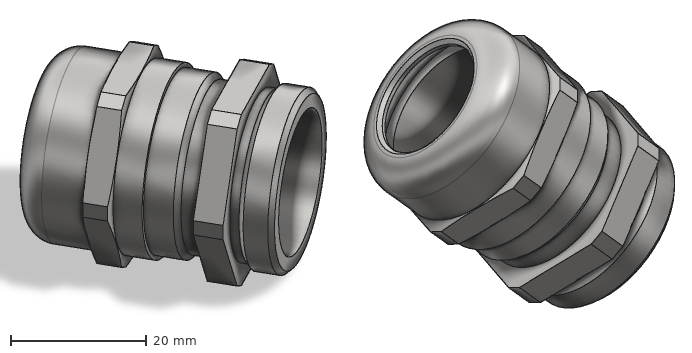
import cadquery as cq
import math


hex_across_flats = 30.0
hex_across_corners = 33.2

cap_length = 20.0
cap_radius = 14.85
dome_radius = 4.5
cap_hex_start = 11.05
cap_hex_width = 4.5
cap_hex_chamfer_depth = 0.3

throat_radius = 9.2
mouth_chamfer = 0.6
throat_length = 0.6

total_length = 40.0
thread_radius = 14.1
neck_radius = 13.2
bore_radius = 11.2
neck_start = 25.5
neck_end = 34.5
end_chamfer = 0.8
body_hex_start = 28.45
body_hex_width = 4.6

neck_taper = thread_radius - neck_radius
throat_end = mouth_chamfer + throat_length
socket_radius = neck_radius
body_start = throat_end + socket_radius - throat_radius


def revolve_profile(profile):
    """Turn a closed (axial, radial) profile around the X axis."""
    return profile.close().revolve(360, (0, 0, 0), (1, 0, 0))


def wrench_hexagon(start, width):
    """Hexagonal prism along X, flats up and down, with its six corners cut flat."""
    def prism(across_flats, turn):
        corner_diameter = across_flats / math.cos(math.pi / 6)
        return (
            cq.Workplane("YZ", origin=(start, 0, 0))
            .transformed(rotate=(0, 0, turn))
            .polygon(6, corner_diameter)
            .extrude(width)
        )

    return prism(hex_across_flats, 0).intersect(prism(hex_across_corners, 30))


def chamfered_cap_hexagon():
    """Cap hexagon with a shallow conical chamfer on both ends."""
    end = cap_hex_start + cap_hex_width
    corner_radius = hex_across_corners / 2
    slope = cap_hex_chamfer_depth / (corner_radius - cap_radius)
    envelope_radius = hex_across_flats / math.sqrt(3)
    depth = slope * (envelope_radius - cap_radius)
    envelope = revolve_profile(
        cq.Workplane("XY")
        .moveTo(cap_hex_start, 0)
        .lineTo(cap_hex_start, cap_radius)
        .lineTo(cap_hex_start + depth, envelope_radius)
        .lineTo(end - depth, envelope_radius)
        .lineTo(end, cap_radius)
        .lineTo(end, 0)
    )
    return wrench_hexagon(cap_hex_start, cap_hex_width).intersect(envelope)


def make_cap():
    """Domed cap with its hexagon, tapered mouth, clamping cone and socket for the body."""
    shell = (
        cq.Workplane("YZ")
        .circle(cap_radius)
        .extrude(cap_length)
        .faces("<X")
        .edges()
        .fillet(dome_radius)
    )
    cavity = revolve_profile(
        cq.Workplane("XY")
        .moveTo(0, 0)
        .lineTo(0, throat_radius + mouth_chamfer)
        .lineTo(mouth_chamfer, throat_radius)
        .lineTo(throat_end, throat_radius)
        .lineTo(body_start, socket_radius)
        .lineTo(cap_length, socket_radius)
        .lineTo(cap_length, 0)
    )
    return shell.union(chamfered_cap_hexagon()).cut(cavity)


def make_body():
    """Hollow body: spigot inside the cap, threads either side of a neck, and a hexagon."""
    turned = revolve_profile(
        cq.Workplane("XY")
        .moveTo(body_start, 0)
        .lineTo(body_start, socket_radius)
        .lineTo(cap_length, socket_radius)
        .lineTo(cap_length, thread_radius)
        .lineTo(neck_start - neck_taper, thread_radius)
        .lineTo(neck_start, neck_radius)
        .lineTo(neck_end, neck_radius)
        .lineTo(neck_end + neck_taper, thread_radius)
        .lineTo(total_length - end_chamfer, thread_radius)
        .lineTo(total_length, thread_radius - end_chamfer)
        .lineTo(total_length, 0)
    )
    bore = (
        cq.Workplane("YZ", origin=(body_start, 0, 0))
        .circle(bore_radius)
        .extrude(total_length - body_start)
    )
    return turned.union(wrench_hexagon(body_hex_start, body_hex_width)).cut(bore)


cap = make_cap()
body = make_body()

result = cq.Compound.makeCompound([cap.val(), body.val()])